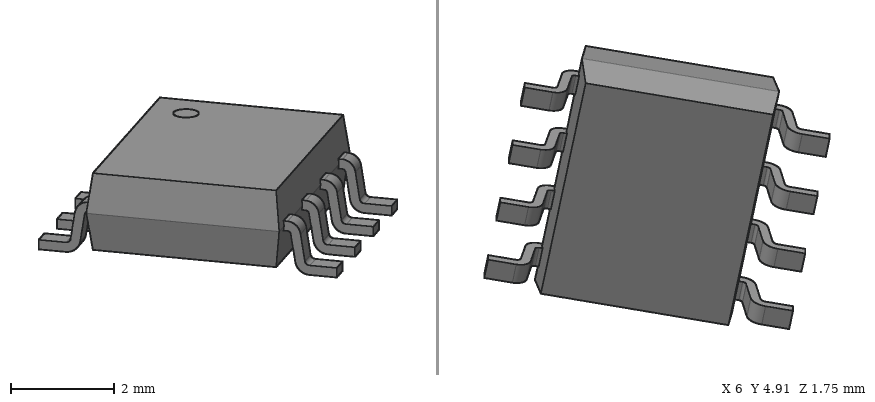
import cadquery as cq
import math

body_length_x = 3.88
body_length_y = 4.91
body_taper_x = 0.095
body_taper_y = 0.12
body_bottom = 0.175
body_top = 1.745
parting_z = (body_bottom + body_top) / 2

marker_diameter = 0.5
marker_depth = 0.005
marker_x = -1.1
marker_y = 1.58

lead_span = 6.0
lead_pitch = 1.27
leads_per_side = 4
lead_width = 0.41
lead_thickness = 0.2
lead_slope = 9.0
upper_inner_radius = 0.07
upper_outer_radius = upper_inner_radius + lead_thickness
lower_inner_radius = 0.095
lower_outer_radius = lower_inner_radius + lead_thickness
shoulder_x = 2.005
lead_root_x = body_length_x / 2 - body_taper_x


def tapered_half(face_z):
    """Half of the body, from the parting plane to the flat face at face_z."""
    return (
        cq.Workplane("XY", origin=(0, 0, parting_z))
        .rect(body_length_x, body_length_y)
        .workplane(offset=face_z - parting_z)
        .rect(body_length_x - 2 * body_taper_x, body_length_y - 2 * body_taper_y)
        .loft(ruled=True)
    )


def polar_point(center, radius, degrees):
    """Point at the given radius and angle around center."""
    angle = math.radians(degrees)
    return (center[0] + radius * math.cos(angle), center[1] + radius * math.sin(angle))


def lead(center_y):
    """One S-bent lead on the +X side, extruded across its width."""
    slope = math.radians(lead_slope)
    lead_top = parting_z + lead_thickness / 2
    upper_z = lead_top - upper_outer_radius
    lower_z = lower_outer_radius
    radius_sum = upper_outer_radius + lower_inner_radius
    bend_spacing = (radius_sum + (upper_z - lower_z) * math.sin(slope)) / math.cos(slope)
    upper = (shoulder_x, upper_z)
    lower = (shoulder_x + bend_spacing, lower_z)

    upper_end = lead_slope
    upper_mid = (90 + upper_end) / 2
    lower_start = 180 + lead_slope
    lower_mid = (270 + lower_start) / 2

    profile = (
        cq.Workplane("XZ", origin=(0, center_y + lead_width / 2, 0))
        .moveTo(lead_root_x, lead_top)
        .lineTo(*polar_point(upper, upper_outer_radius, 90))
        .threePointArc(
            polar_point(upper, upper_outer_radius, upper_mid),
            polar_point(upper, upper_outer_radius, upper_end),
        )
        .lineTo(*polar_point(lower, lower_inner_radius, lower_start))
        .threePointArc(
            polar_point(lower, lower_inner_radius, lower_mid),
            polar_point(lower, lower_inner_radius, 270),
        )
        .lineTo(lead_span / 2, lead_thickness)
        .lineTo(lead_span / 2, 0)
        .lineTo(*polar_point(lower, lower_outer_radius, 270))
        .threePointArc(
            polar_point(lower, lower_outer_radius, lower_mid),
            polar_point(lower, lower_outer_radius, lower_start),
        )
        .lineTo(*polar_point(upper, upper_inner_radius, upper_end))
        .threePointArc(
            polar_point(upper, upper_inner_radius, upper_mid),
            polar_point(upper, upper_inner_radius, 90),
        )
        .lineTo(lead_root_x, lead_top - lead_thickness)
        .close()
    )
    return profile.extrude(lead_width)


body = tapered_half(body_top).union(tapered_half(body_bottom))

marker = (
    cq.Workplane("XY", origin=(marker_x, marker_y, body_top - marker_depth))
    .circle(marker_diameter / 2)
    .extrude(marker_depth)
)
result = body.cut(marker)

for index in range(leads_per_side):
    lead_y = (index - (leads_per_side - 1) / 2) * lead_pitch
    right_lead = lead(lead_y)
    result = result.union(right_lead).union(right_lead.mirror("YZ"))